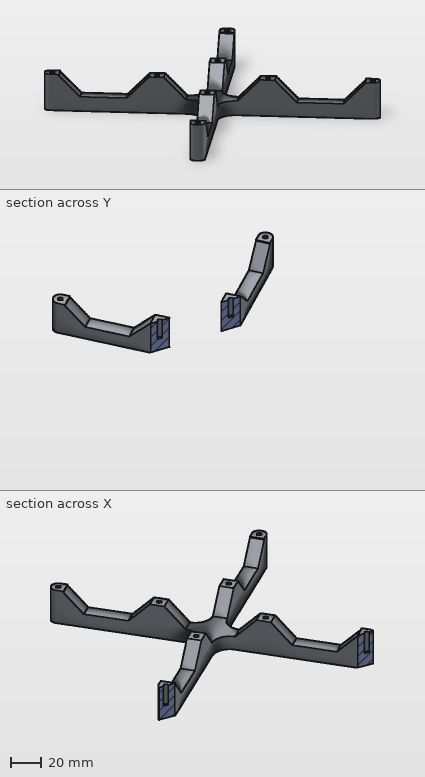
import cadquery as cq
import math

SPAN = 161.4
ARM_WIDTH = 10.0
BASE_HEIGHT = 10.0
TOTAL_HEIGHT = 25.0
TIP_RADIUS = 4.8
HUB_RADIUS = 12.1
POST_LENGTH = ARM_WIDTH
INNER_RAMP_RUN = 14.8
OUTER_RAMP_RUN = 14.2
OUTER_RAMP_DROP = 0.8
HOLE_DIAMETER = 3.2
ARM_ANGLES = (45, 135, 225, 315)

HALF_WIDTH = ARM_WIDTH / 2
TIP_FLAT_HALF = HALF_WIDTH - TIP_RADIUS
ARM_LENGTH = math.sqrt(2) * (SPAN / 2 - TIP_RADIUS) - TIP_FLAT_HALF + TIP_RADIUS
INNER_RAMP_START = HALF_WIDTH + HUB_RADIUS
INNER_POST_START = INNER_RAMP_START + INNER_RAMP_RUN
INNER_POST_END = INNER_POST_START + POST_LENGTH
INNER_RAMP_END = INNER_POST_END + INNER_RAMP_RUN
OUTER_POST_START = ARM_LENGTH - POST_LENGTH
OUTER_RAMP_START = OUTER_POST_START - OUTER_RAMP_RUN
HOLE_STATIONS = (INNER_POST_START + POST_LENGTH / 2, OUTER_POST_START + POST_LENGTH / 2)

HOLE_DEPTH = TOTAL_HEIGHT - BASE_HEIGHT


def make_arm():
    """Arm along +X: side profile with two posts, rounded tip and blind holes."""
    profile = [
        (0, 0),
        (ARM_LENGTH, 0),
        (ARM_LENGTH, TOTAL_HEIGHT),
        (OUTER_POST_START, TOTAL_HEIGHT),
        (OUTER_POST_START, TOTAL_HEIGHT - OUTER_RAMP_DROP),
        (OUTER_RAMP_START, BASE_HEIGHT),
        (INNER_RAMP_END, BASE_HEIGHT),
        (INNER_POST_END, TOTAL_HEIGHT),
        (INNER_POST_START, TOTAL_HEIGHT),
        (INNER_RAMP_START, BASE_HEIGHT),
        (0, BASE_HEIGHT),
    ]
    arm = cq.Workplane("XZ").polyline(profile).close().extrude(HALF_WIDTH, both=True)
    arm = arm.faces(">X").edges("|Z").fillet(TIP_RADIUS)
    holes = (
        cq.Workplane("XY")
        .workplane(offset=TOTAL_HEIGHT)
        .pushPoints([(station, 0) for station in HOLE_STATIONS])
        .circle(HOLE_DIAMETER / 2)
        .extrude(-HOLE_DEPTH)
    )
    return arm.cut(holes)


def make_hub():
    """Square plate with concave quarter circles cut from its corners."""
    half_side = HALF_WIDTH + HUB_RADIUS
    corner_cuts = (
        cq.Workplane("XY")
        .rect(2 * half_side, 2 * half_side, forConstruction=True)
        .vertices()
        .circle(HUB_RADIUS)
        .extrude(BASE_HEIGHT)
    )
    plate = cq.Workplane("XY").rect(2 * half_side, 2 * half_side).extrude(BASE_HEIGHT)
    return plate.cut(corner_cuts).rotate((0, 0, 0), (0, 0, 1), ARM_ANGLES[0])


result = make_hub()
arm = make_arm()
for angle in ARM_ANGLES:
    result = result.union(arm.rotate((0, 0, 0), (0, 0, 1), angle))